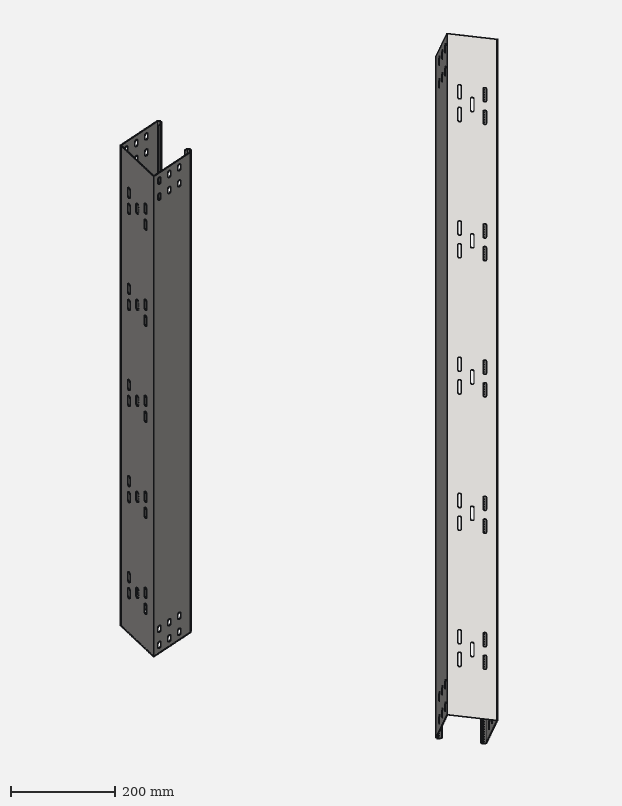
import cadquery as cq
import math

length = 1500.0
width = 100.0
depth = 98.0
sheet = 2.0
edge_width = 12.0
edge_chamfer = 3.8
edge_drop = 10.0

slot_width = 7.0
slot_pitch = length / 30

group_count = 5
group_pitch = length / group_count
back_slot_length = 32.0

side_slot_length = length / 75
side_column_pitch = slot_pitch / 2
side_centre_y = -9.0
first_row = slot_pitch / 2
second_row = first_row + slot_pitch

half_width = width / 2
front = depth / 2
back = -depth / 2


def half_section(side):
    """Half of the channel with its folded edge; side is -1 or 1 for the X direction."""
    inner_chamfer = edge_chamfer - sheet * math.tan(math.radians(22.5))
    under_top = front - sheet
    lip = edge_width
    lip_inside = edge_width - sheet
    points = [
        (half_width, back),
        (0, back),
        (0, front - edge_chamfer),
        (edge_chamfer, front),
        (lip - edge_chamfer, front),
        (lip, front - edge_chamfer),
        (lip, front - edge_drop),
        (lip_inside, front - edge_drop),
        (lip_inside, under_top - inner_chamfer),
        (lip_inside - inner_chamfer, under_top),
        (sheet + inner_chamfer, under_top),
        (sheet, under_top - inner_chamfer),
        (sheet, back + sheet),
        (half_width, back + sheet),
    ]
    outline = [(side * (half_width - inward), y) for inward, y in points]
    return cq.Workplane("XY").polyline(outline).close().extrude(length)


def back_slots():
    """Cutters through the back wall for all the slot groups."""
    offset = slot_pitch / 2
    group = [(0, 0), (-offset, -offset), (-offset, offset), (offset, -offset), (offset, offset)]
    points = []
    for i in range(group_count):
        group_z = (i + 0.5) * group_pitch
        points += [(x, group_z + dz) for x, dz in group]
    return (
        cq.Workplane("XZ", origin=(0, back, 0))
        .pushPoints(points)
        .slot2D(back_slot_length, slot_width, 90)
        .extrude(sheet * 2, both=True)
    )


def side_slots():
    """Cutters through both side walls near the two ends."""
    columns = [side_centre_y + i * side_column_pitch for i in (-1, 0, 1)]
    rows = [first_row, second_row, length - second_row, length - first_row]
    return (
        cq.Workplane("YZ")
        .pushPoints([(y, z) for y in columns for z in rows])
        .slot2D(side_slot_length, slot_width, 90)
        .extrude(width, both=True)
    )


channel = half_section(-1).union(half_section(1))
result = channel.cut(back_slots()).cut(side_slots())